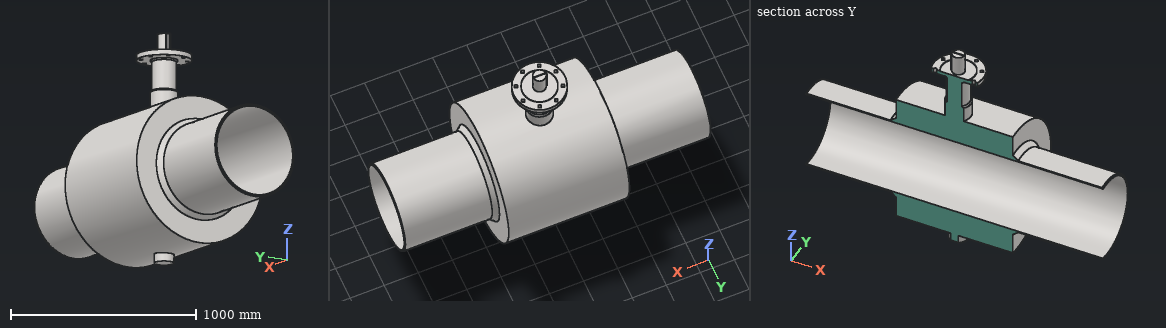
import cadquery as cq
import math

overall_length = 1800.0
pipe_diameter = 508.0
bore_diameter = 488.0
bevel_small_diameter = 495.4
bevel_angle = 30.0
bevel_length = (pipe_diameter - bevel_small_diameter) / 2 * math.tan(math.radians(bevel_angle))

shell_diameter = 813.0
shell_length = 710.0
weld_cone_length = 32.0
weld_cone_diameter = 560.0

overall_height = 1266.0
stem_top = 814.5
stub_diameter = 108.0
stub_bottom = stem_top - overall_height

collar_diameter = 150.0
tube_diameter = 133.0
fillet_weld_size = (collar_diameter - tube_diameter) / 2
collar_top = 493.5
flange_diameter = 300.0
flange_thickness = 30.0
flange_top = 700.5
flange_bottom = flange_top - flange_thickness

bolt_circle_diameter = 254.0
bolt_hole_diameter = 18.0
bolt_hole_count = 8
recess_diameter = 200.0
recess_depth = 3.0
recess_floor = flange_top - recess_depth

stem_diameter = 72.0
key_width = 20.0
key_projection = 4.5
mark_width = 2.0
mark_depth = 2.0


def run_profile():
    """Half section of the pipe run and shell, to be turned about the X axis."""
    half_length = overall_length / 2
    half_shell = shell_length / 2
    right_side = [
        (half_shell, shell_diameter / 2),
        (half_shell, weld_cone_diameter / 2),
        (half_shell + weld_cone_length, pipe_diameter / 2),
        (half_length - bevel_length, pipe_diameter / 2),
        (half_length, bevel_small_diameter / 2),
        (half_length, 0),
    ]
    left_side = [(-x, radius) for x, radius in reversed(right_side)]
    return left_side + right_side


def neck_profile():
    """Half section of the neck and flange in the XZ plane, from the shell axis up."""
    return [
        (0, 0),
        (collar_diameter / 2, 0),
        (collar_diameter / 2, collar_top),
        (tube_diameter / 2, collar_top + fillet_weld_size),
        (tube_diameter / 2, flange_bottom - fillet_weld_size),
        (tube_diameter / 2 + fillet_weld_size, flange_bottom),
        (flange_diameter / 2, flange_bottom),
        (flange_diameter / 2, flange_top),
        (0, flange_top),
    ]


def make_housing():
    """Pipe run, shell, stub, neck and flange as one welded body."""
    run = cq.Workplane("XY").polyline(run_profile()).close().revolve(360, (0, 0, 0), (1, 0, 0))
    neck = cq.Workplane("XZ").polyline(neck_profile()).close().revolve(360, (0, 0, 0), (0, 1, 0))
    stub = cq.Workplane("XY").circle(stub_diameter / 2).extrude(stub_bottom)
    bore = (
        cq.Workplane("YZ", origin=(-overall_length / 2, 0, 0))
        .circle(bore_diameter / 2)
        .extrude(overall_length)
    )
    recess = (
        cq.Workplane("XY", origin=(0, 0, recess_floor))
        .circle(recess_diameter / 2)
        .extrude(recess_depth)
    )
    first_hole_angle = 180 / bolt_hole_count
    bolt_holes = (
        cq.Workplane("XY", origin=(0, 0, flange_bottom))
        .polarArray(bolt_circle_diameter / 2, first_hole_angle, 360, bolt_hole_count)
        .circle(bolt_hole_diameter / 2)
        .extrude(flange_thickness)
    )
    return run.union(neck).union(stub).cut(bore).cut(recess).cut(bolt_holes)


def make_stem():
    """Keyed stem standing on the recess floor."""
    stem_length = stem_top - recess_floor
    base = cq.Workplane("XY", origin=(0, 0, recess_floor))
    key_reach = stem_diameter / 2 + key_projection
    shaft = base.circle(stem_diameter / 2).extrude(stem_length)
    key = base.center(-key_reach / 2, 0).rect(key_reach, key_width).extrude(stem_length)
    mark = (
        cq.Workplane("XY", origin=(0, 0, stem_top - mark_depth))
        .rect(2 * key_reach, mark_width)
        .extrude(mark_depth)
    )
    return shaft.union(key).cut(mark)


housing = make_housing()
stem = make_stem()

result = cq.Compound.makeCompound([housing.val(), stem.val()])